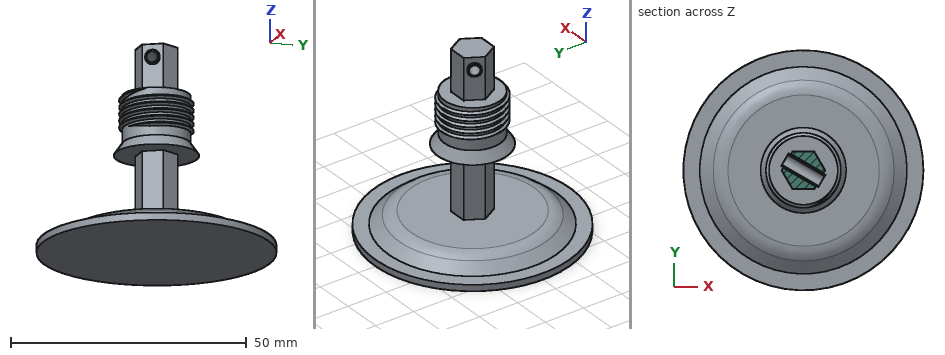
import cadquery as cq
import math

disc_radius = 25.5
rim_height = 1.65
disc_height = 5.0
dome_foot_radius = 22.0
dome_slope = math.radians(39)
dome_round_radius = 5.0
stem_across_flats = 8.0
total_height = 45.0

bushing_bottom = 21.4
bushing_top = 34.5
flare_height = 2.55
flare_radius = 9.1
bushing_radius = 7.3

thread_length = 7.5
thread_crest_radius = 7.95
thread_half_width = 0.45
thread_turns = 5
thread_pitch = thread_length / thread_turns
thread_zero_height = 26.5
thread_start_angle = -80
thread_fade_angle = 50
thread_embed = 0.15
thread_tip_share = 0.05
degrees_per_point = 10

pin_outer_radius = 1.6
pin_inner_radius = 1.2
pin_length = 9.05
pin_height = 42.0
pin_direction = cq.Vector(-math.cos(math.radians(30)), math.sin(math.radians(30)), 0)


def hex_prism(bottom, top):
    """Hexagonal prism with corners on the X axis."""
    across_corners = stem_across_flats / math.cos(math.radians(30))
    return cq.Workplane("XY").workplane(offset=bottom).polygon(6, across_corners).extrude(top - bottom)


def pin_cylinder(radius):
    """Cylinder of the pin's length, centred on the stem axis and square to two hexagon faces."""
    start = cq.Vector(0, 0, pin_height) - pin_direction * (pin_length / 2)
    return cq.Workplane(cq.Solid.makeCylinder(radius, pin_length, start, pin_direction))


def make_valve():
    cone_top = disc_height - dome_round_radius * (1 - math.cos(dome_slope))
    cone_top_radius = dome_foot_radius - (cone_top - rim_height) / math.tan(dome_slope)
    flat_radius = cone_top_radius - dome_round_radius * math.sin(dome_slope)
    arc_middle = (
        flat_radius + dome_round_radius * math.sin(dome_slope / 2),
        disc_height - dome_round_radius * (1 - math.cos(dome_slope / 2)),
    )
    disc = (
        cq.Workplane("XZ")
        .lineTo(disc_radius, 0)
        .lineTo(disc_radius, rim_height)
        .lineTo(dome_foot_radius, rim_height)
        .lineTo(cone_top_radius, cone_top)
        .threePointArc(arc_middle, (flat_radius, disc_height))
        .lineTo(0, disc_height)
        .close()
        .revolve(360, (0, 0, 0), (0, 1, 0))
    )
    stem = hex_prism(0, total_height)
    return disc.union(stem).cut(pin_cylinder(pin_outer_radius))


def thread_section(angle, share):
    """Lower root, crest and upper root points; share shrinks the section toward its upper root."""
    root_radius = bushing_radius - thread_embed
    thread_depth = thread_crest_radius - bushing_radius
    root_half_width = thread_half_width * (thread_depth + thread_embed) / thread_depth
    upper = thread_zero_height + thread_pitch * angle / 360 + root_half_width
    crest_radius = root_radius + share * (thread_crest_radius - root_radius)
    radii_and_heights = [
        (root_radius, upper - 2 * share * root_half_width),
        (crest_radius, upper - share * root_half_width),
        (root_radius, upper),
    ]
    turn = math.radians(angle)
    return [cq.Vector(r * math.cos(turn), r * math.sin(turn), z) for r, z in radii_and_heights]


def thread_piece(start, end, start_share, end_share):
    """Solid stretch of thread whose section changes evenly from start to end."""
    steps = round((end - start) / degrees_per_point)
    sections = []
    for step in range(steps + 1):
        progress = step / steps
        share = start_share + (end_share - start_share) * progress
        sections.append(thread_section(start + (end - start) * progress, share))
    edges = [cq.Edge.makeSpline(list(points)) for points in zip(*sections)]
    faces = [cq.Face.makeRuledSurface(edges[i], edges[(i + 1) % 3]) for i in range(3)]
    for section in (sections[0], sections[-1]):
        faces.append(cq.Face.makeFromWires(cq.Wire.makePolygon(section, close=True)))
    return cq.Workplane(cq.Solid.makeSolid(cq.Shell.makeShell(faces)))


def make_bushing():
    flare_top = bushing_bottom + flare_height
    body = (
        cq.Workplane("XZ")
        .moveTo(0, bushing_bottom)
        .lineTo(flare_radius, bushing_bottom)
        .lineTo(bushing_radius, flare_top)
        .lineTo(bushing_radius, bushing_top)
        .lineTo(0, bushing_top)
        .close()
        .revolve(360, (0, 0, 0), (0, 1, 0))
    )
    full_start = thread_start_angle + thread_fade_angle
    full_end = thread_start_angle + 360 * thread_turns
    thread_end = full_end + thread_fade_angle
    body = body.union(thread_piece(thread_start_angle, full_start, thread_tip_share, 1))
    body = body.union(thread_piece(full_start, full_end, 1, 1))
    body = body.union(thread_piece(full_end, thread_end, 1, thread_tip_share))
    return body.cut(hex_prism(bushing_bottom, bushing_top))


def make_pin():
    return pin_cylinder(pin_outer_radius).cut(pin_cylinder(pin_inner_radius))


valve = make_valve()
bushing = make_bushing()
pin = make_pin()

result = cq.Compound.makeCompound([valve.val(), bushing.val(), pin.val()])